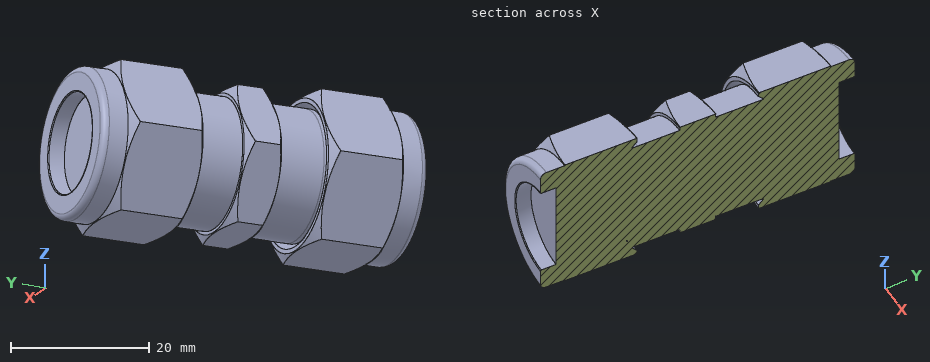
import cadquery as cq
import math

total_length = 52.0

body_diameter = 19.8
body_hex_width = 21.0
body_hex_length = 6.0

nut_hex_width = 23.0
nut_hex_start = 10.0
nut_hex_length = 12.0
collar_diameter = 22.8
collar_fillet = 1.0

socket_diameter = 15.1
socket_depth = 2.6
socket_mouth_chamfer = 0.15

countersink_diameter = 21.5
countersink_angle = 45.0

hex_sides = 6
corner_angle = 30.0
hex_face_ratio = 0.99

half_length = total_length / 2
nut_hex_end = nut_hex_start + nut_hex_length


def revolve_about_y(profile):
    """Turn an (r, y) profile, drawn in the XY plane, about the Y axis."""
    return profile.close().revolve(360, (0, 0, 0), (0, 1, 0))


def chamfered_hex(width, y_start, y_end):
    """Hexagonal prism along Y, flats facing +Z and -Z, corners coned at both ends."""
    corner_radius = width / 2 / math.cos(math.pi / hex_sides)
    face_radius = hex_face_ratio * width / 2
    corner_drop = (corner_radius - face_radius) * math.tan(math.radians(corner_angle))
    prism = (
        cq.Workplane("XZ", origin=(0, y_start, 0))
        .polygon(hex_sides, 2 * corner_radius)
        .extrude(y_start - y_end)
    )
    envelope = revolve_about_y(
        cq.Workplane("XY")
        .moveTo(0, y_start)
        .lineTo(face_radius, y_start)
        .lineTo(corner_radius, y_start + corner_drop)
        .lineTo(corner_radius, y_end - corner_drop)
        .lineTo(face_radius, y_end)
        .lineTo(0, y_end)
    )
    return prism.intersect(envelope)


def body():
    """Round barrel joining the nuts, with a hexagon at mid length."""
    barrel = cq.Workplane("XZ").circle(body_diameter / 2).extrude(nut_hex_start, both=True)
    return barrel.union(chamfered_hex(body_hex_width, -body_hex_length / 2, body_hex_length / 2))


def nut():
    """Nut on the +Y end: hexagon plus a round collar with a rounded outer edge."""
    collar = (
        cq.Workplane("XZ", origin=(0, nut_hex_start, 0))
        .circle(collar_diameter / 2)
        .extrude(nut_hex_start - half_length)
        .faces(">Y")
        .edges()
        .fillet(collar_fillet)
    )
    return collar.union(chamfered_hex(nut_hex_width, nut_hex_start, nut_hex_end))


def socket():
    """Blind round recess in the +Y end, with a small chamfer at its mouth."""
    floor_y = half_length - socket_depth
    socket_radius = socket_diameter / 2
    return revolve_about_y(
        cq.Workplane("XY")
        .moveTo(0, half_length)
        .lineTo(socket_radius + socket_mouth_chamfer, half_length)
        .lineTo(socket_radius, half_length - socket_mouth_chamfer)
        .lineTo(socket_radius, floor_y)
        .lineTo(0, floor_y)
    )


def countersink():
    """Cone in the inner face of the +Y nut, narrowing to the barrel surface."""
    mouth_radius = countersink_diameter / 2
    barrel_radius = body_diameter / 2
    depth = (mouth_radius - barrel_radius) / math.tan(math.radians(countersink_angle))
    return revolve_about_y(
        cq.Workplane("XY")
        .moveTo(barrel_radius, nut_hex_start)
        .lineTo(mouth_radius, nut_hex_start)
        .lineTo(barrel_radius, nut_hex_start + depth)
    )


end_nut = nut().cut(socket()).cut(countersink())
result = body().union(end_nut).union(end_nut.mirror("XZ"))